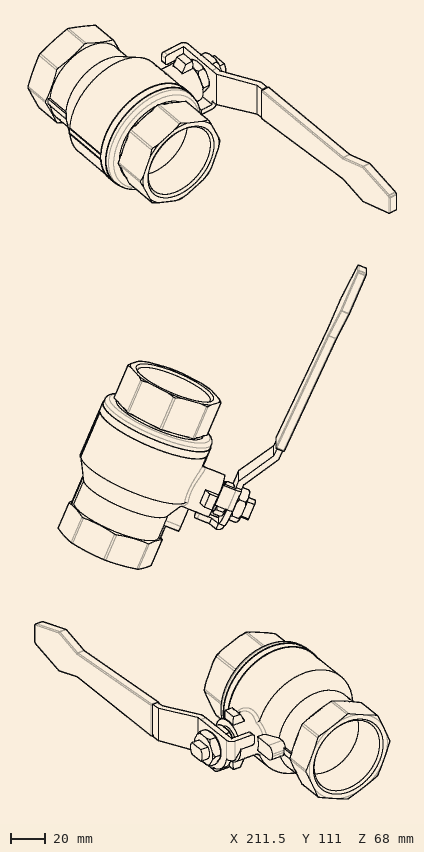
import cadquery as cq
import math


part_length = 211.5
handle_top = 77.0

octagon_corner_radius = 29.4
octagon_edge_round = 1.7
octagon_face_depth = 0.5
octagon_face_radius = 27.3
left_octagon_end = 17.0
left_octagon_bevel = 1.0
left_octagon_bevel_radius = 26.2
neck_radius = 26.6
cone_start = 32.8
body_start = 45.2
body_radius = 33.6
collar_start = 74.6
collar_end = 79.3
collar_radius = 34.0
body_end = 83.7
body_end_round = 2.1
right_groove_end = 85.2
right_groove_radius = 27.3
body_length = 106.8
right_octagon_bevel = 0.8
right_octagon_bevel_radius = 28.0

bore_radius = 22.8
bore_mouth_radius = 24.3
bore_mouth_depth = 1.5
bore_depth = 23.3

parting_rib_width = 4.0
neck_rib_reach = 27.7
neck_rib_end = 34.5

stem_x = 53.3
boss_radius = 13.1
boss_top = 48.0
boss_root_fillet = 2.1
lug_width = 8.5
lug_reach = 18.2
lug_top = 47.5
lug_tip_top = 47.1
lug_tip_bottom = 42.3
lug_root_bottom = 39.5

gusset_start = 25.5
gusset_top = 35.7
gusset_width = 9.5
gusset_nose_radius = 4.0

plate_bottom = 55.4
plate_thickness = 3.5
plate_top = plate_bottom + plate_thickness
plate_half_width = 11.8
plate_left = 35.0
bend_radius = 3.5
bend_x = 68.3
climb_end_x = 90.0

stem_radius = 6.1
stem_half_flat = 4.0
stem_top = 70.2
nut_corner_radius = 10.5
nut_chamfer = 1.0
gland_radius = 8.9
gland_nut_bottom = 49.7
washer_radius = 9.0
top_nut_bottom = 59.5
top_nut_top = 65.1

end_tab_bottom = 41.9
end_tab_inner_z = 4.7
end_tab_corner = 1.7
end_tab_round = 3.4
end_tab_throat_y = 51.2
end_tab_throat_z = -1.3
plate_corner_x = 42.3
plate_corner_z = -8.7
stop_tab_left = 52.5
stop_tab_right = 65.3
stop_tab_bottom = 47.5
stop_tab_outer_z = 18.0

grip_start = 95.5
grip_edge_round = 0.6
grip_thickness = 5.5
grip_tilt = 1.9
grip_half_width_start = 11.0
grip_waist_x = 169.1
grip_half_width_waist = 8.2
grip_bulge_x = 187.0
grip_half_width_bulge = 13.5
grip_half_width_tip = 7.0
grip_tip_chamfer = 1.0

selection_margin = 0.5


def cylinder_x(radius, start, end):
    return cq.Workplane("YZ").workplane(offset=start).circle(radius).extrude(end - start)


def box_between(x_range, y_range, z_range):
    size = [high - low for low, high in (x_range, y_range, z_range)]
    corner = (x_range[0], y_range[0], z_range[0])
    return cq.Workplane("XY").box(*size, centered=False).translate(corner)


def along_stem(bottom):
    """Sketch plane across the stem axis; its local axes are X and -Z."""
    return cq.Workplane("XZ", origin=(stem_x, bottom, 0)).transformed(rotate=(180, 0, 0))


def revolve_about_pipe(profile):
    return cq.Workplane("XY").polyline(profile).close().revolve(360, (0, 0, 0), (1, 0, 0))


def octagon_end(start, end, bevel_length, bevel_radius):
    """Octagonal wrench end with its corners turned down to bevel_radius at the right."""
    prism = (
        cq.Workplane("YZ").workplane(offset=start)
        .polygon(8, 2 * octagon_corner_radius).extrude(end - start)
        .edges("|X").fillet(octagon_edge_round)
    )
    turned = revolve_about_pipe([
        (start, 0),
        (start, octagon_corner_radius),
        (end - bevel_length, octagon_corner_radius),
        (end, bevel_radius),
        (end, 0),
    ])
    return prism.intersect(turned)


def left_octagon():
    end = left_octagon_end + left_octagon_bevel
    octagon = octagon_end(0, end, left_octagon_bevel, left_octagon_bevel_radius)
    relieved = revolve_about_pipe([
        (0, 0),
        (0, octagon_face_radius),
        (octagon_face_depth, octagon_corner_radius),
        (end, octagon_corner_radius),
        (end, 0),
    ])
    return octagon.intersect(relieved)


def right_octagon():
    return octagon_end(right_groove_end, body_length, right_octagon_bevel, right_octagon_bevel_radius)


def turned_body():
    profile = [
        (left_octagon_end / 2, 0),
        (left_octagon_end / 2, -neck_radius),
        (cone_start, -neck_radius),
        (body_start, -body_radius),
        (body_end, -body_radius),
        (body_end, -right_groove_radius),
        (right_groove_end, -right_groove_radius),
        (right_groove_end, 0),
    ]
    shell = revolve_about_pipe(profile)
    rim_reach = body_radius + selection_margin
    rounded_rim = cq.selectors.BoxSelector(
        (body_end - selection_margin, -rim_reach, -rim_reach),
        (body_end + selection_margin, rim_reach, rim_reach),
    )
    return shell.edges(rounded_rim).edges(cq.selectors.RadiusNthSelector(-1)).fillet(body_end_round)


def stem_boss():
    return along_stem(0).circle(boss_radius).extrude(boss_top)


def parting_ribs():
    half_width = parting_rib_width / 2
    z_range = (-half_width, half_width)
    neck = box_between((left_octagon_end, neck_rib_end), (-neck_rib_reach, neck_rib_reach), z_range)
    body = box_between((body_start, collar_start), (-collar_radius, collar_radius), z_range)
    return neck.union(body)


def stop_lugs():
    half_profile = [(lug_top, 0), (lug_top, boss_radius), (lug_tip_top, lug_reach)]
    half_profile += [(lug_tip_bottom, lug_reach), (lug_root_bottom, boss_radius), (lug_root_bottom, 0)]
    upper = (
        cq.Workplane("YZ", origin=(stem_x - lug_width / 2, 0, 0))
        .polyline(half_profile).close().extrude(lug_width)
    )
    return upper.union(upper.mirror("XY"))


def gusset():
    half_width = gusset_width / 2
    block = box_between((gusset_start, stem_x), (0, gusset_top), (-half_width, half_width))
    return block.edges("<X and |Y").fillet(gusset_nose_radius)


def bore(mouth_x, direction):
    """Blind bore with a countersunk mouth, running from mouth_x in direction +1 or -1."""
    profile = [
        (mouth_x, 0),
        (mouth_x, bore_mouth_radius),
        (mouth_x + direction * bore_mouth_depth, bore_radius),
        (mouth_x + direction * bore_depth, bore_radius),
        (mouth_x + direction * bore_depth, 0),
    ]
    return revolve_about_pipe(profile)


def hex_nut(bottom, top):
    height = top - bottom
    prism = along_stem(bottom).polygon(6, 2 * nut_corner_radius).extrude(height)
    turned = along_stem(bottom).circle(nut_corner_radius).extrude(height)
    return prism.intersect(turned.faces("<Y or >Y").chamfer(nut_chamfer))


def stem_and_nuts():
    rod = along_stem(boss_top).circle(stem_radius).extrude(stem_top - boss_top)
    flats = box_between(
        (stem_x - stem_radius, stem_x + stem_radius),
        (boss_top, stem_top),
        (-stem_half_flat, stem_half_flat),
    )
    gland = along_stem(boss_top).circle(gland_radius).extrude(gland_nut_bottom - boss_top)
    washer = along_stem(plate_top).circle(washer_radius).extrude(top_nut_bottom - plate_top)
    gland_nut = hex_nut(gland_nut_bottom, plate_bottom)
    top_nut = hex_nut(top_nut_bottom, top_nut_top)
    return rod.intersect(flats).union(gland).union(gland_nut).union(washer).union(top_nut)


tilt_slope = math.tan(math.radians(grip_tilt))
grip_start_top = handle_top - (part_length - grip_start) * tilt_slope
root_top = grip_start_top - (grip_thickness - plate_thickness) / 2
climb_end_top = root_top - (grip_start - climb_end_x) * tilt_slope
climb_rise = climb_end_top - plate_top
climb_angle = math.atan2(climb_rise, climb_end_x - bend_x)
bend_shift = plate_thickness * math.tan(climb_angle / 2)


def lever_plate():
    """Flat plate, climbing stretch and the root of the handle."""
    side = [
        (plate_left + bend_radius, plate_bottom),
        (bend_x + bend_shift, plate_bottom),
        (climb_end_x + bend_shift, climb_end_top - plate_thickness),
        (grip_start, root_top - plate_thickness),
        (grip_start, root_top),
        (climb_end_x, climb_end_top),
        (bend_x, plate_top),
        (plate_left + bend_radius, plate_top),
    ]
    strip = cq.Workplane("XY").polyline(side).close().extrude(stop_tab_outer_z, both=True)
    fold_z = bend_radius - stop_tab_outer_z
    arc_middle = (plate_corner_x, plate_corner_z)
    planform = (
        cq.Workplane("XZ")
        .moveTo(plate_left + bend_radius, end_tab_throat_z)
        .threePointArc(arc_middle, (stop_tab_left, fold_z))
        .lineTo(stop_tab_right, fold_z)
        .lineTo(stop_tab_right, -plate_half_width)
        .lineTo(grip_start, -grip_half_width_start)
        .lineTo(grip_start, grip_half_width_start)
        .lineTo(stop_tab_right, plate_half_width)
        .lineTo(plate_left + bend_radius, plate_half_width)
        .close().extrude(-handle_top)
    )
    return strip.intersect(planform)


def end_tab():
    """Tab folded down at the left end of the lever plate."""
    strip = box_between(
        (plate_left, plate_left + bend_radius),
        (end_tab_bottom, plate_top),
        (-plate_half_width, plate_half_width),
    )
    strip = strip.edges("<X and >Y").fillet(end_tab_round)
    outline = [
        (plate_top, plate_half_width),
        (end_tab_bottom, plate_half_width),
        (end_tab_bottom, end_tab_inner_z),
        (end_tab_throat_y, end_tab_inner_z),
        (plate_bottom, end_tab_throat_z),
        (plate_top, end_tab_throat_z),
    ]
    mask = (
        cq.Workplane("YZ").polyline(outline).close().extrude(stem_x)
        .edges("|X and <Y").fillet(end_tab_corner)
    )
    return strip.intersect(mask)


def stop_tab():
    """Tab folded down beside the stem; it strikes the stop lugs."""
    fold = box_between(
        (stop_tab_left, stop_tab_right),
        (stop_tab_bottom, plate_top),
        (-stop_tab_outer_z, 0),
    )
    fold = fold.edges("<Z and >Y").fillet(bend_radius)
    hollow = box_between(
        (stop_tab_left, stop_tab_right),
        (stop_tab_bottom, plate_bottom),
        (plate_thickness - stop_tab_outer_z, 0),
    )
    return fold.cut(hollow)


def grip():
    side = [
        (grip_start, grip_start_top),
        (part_length, handle_top),
        (part_length, handle_top - grip_thickness),
        (grip_start, grip_start_top - grip_thickness),
    ]
    slab = cq.Workplane("XY").polyline(side).close().extrude(grip_half_width_bulge, both=True)
    half_outline = [
        (grip_start, grip_half_width_start),
        (grip_waist_x, grip_half_width_waist),
        (grip_bulge_x, grip_half_width_bulge),
        (part_length - grip_tip_chamfer, grip_half_width_tip),
        (part_length, grip_half_width_tip - grip_tip_chamfer),
    ]
    outline = half_outline + [(x, -z) for x, z in reversed(half_outline)]
    planform = cq.Workplane("XZ").polyline(outline).close().extrude(-handle_top)
    return slab.intersect(planform).edges().fillet(grip_edge_round)


boss_and_shell = turned_body().union(stem_boss())
boss_reach = boss_radius + selection_margin
boss_root = cq.selectors.BoxSelector(
    (stem_x - boss_reach, neck_radius, -boss_reach),
    (stem_x + boss_reach, body_radius + selection_margin, boss_reach),
)
body = boss_and_shell.edges(boss_root).fillet(boss_root_fillet)
body = body.union(cylinder_x(collar_radius, collar_start, collar_end))
body = body.union(left_octagon())
body = body.union(right_octagon())
body = body.union(parting_ribs()).union(stop_lugs()).union(gusset())
body = body.cut(bore(0, 1)).cut(bore(body_length, -1))

lever = lever_plate().union(end_tab()).union(stop_tab()).union(grip())
result = body.union(stem_and_nuts()).union(lever)